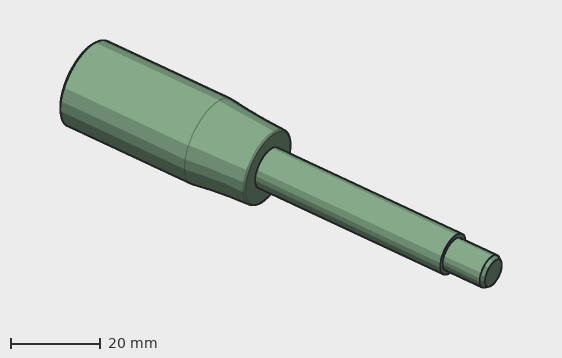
import cadquery as cq

total_length = 110.9

grip_radius = 10.48
grip_straight_end = 34.5
grip_length = 49.9
neck_radius = 9.2
taper_hollow = 0.2
neck_edge_fillet = 0.4
dome_height = 0.5
dome_edge_radius = 10.0
butt_edge_length = 1.0

rod_radius = 5.0
rod_end = 99.9
tip_radius = 4.0
tip_chamfer_length = 1.0
tip_chamfer_depth = 0.7


def make_grip():
    """Handle grip: shallow domed butt, straight barrel and hollow taper to the neck."""
    taper_middle = (
        (grip_straight_end + grip_length) / 2,
        (grip_radius + neck_radius) / 2 - taper_hollow,
    )
    dome_middle = (dome_height / 4, dome_edge_radius / 2)
    profile = (
        cq.Workplane("XY")
        .threePointArc(dome_middle, (dome_height, dome_edge_radius))
        .lineTo(butt_edge_length, grip_radius)
        .lineTo(grip_straight_end, grip_radius)
        .threePointArc(taper_middle, (grip_length, neck_radius))
        .lineTo(grip_length, 0)
        .close()
    )
    grip = profile.revolve(360, (0, 0, 0), (1, 0, 0))
    return grip.faces(">X").edges().fillet(neck_edge_fillet)


def make_rod():
    """Plain rod with a stepped-down, chamfered tip."""
    profile = (
        cq.Workplane("XY")
        .moveTo(grip_straight_end, 0)
        .lineTo(grip_straight_end, rod_radius)
        .lineTo(rod_end, rod_radius)
        .lineTo(rod_end, tip_radius)
        .lineTo(total_length - tip_chamfer_length, tip_radius)
        .lineTo(total_length, tip_radius - tip_chamfer_depth)
        .lineTo(total_length, 0)
        .close()
    )
    return profile.revolve(360, (0, 0, 0), (1, 0, 0))


result = make_grip().union(make_rod())